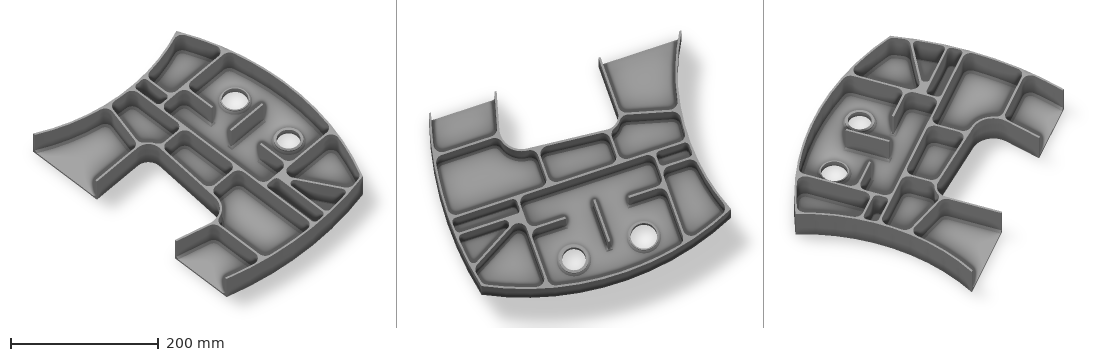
import cadquery as cq
import math


length = 385.0
depth = 299.5
height = 40.0

wall = 3.0
rib = 3.0
floor = 3.0

corner_radius = 11.5
small_corner_radius = 6.0
foot = 3.15
small_foot = 1.0
end_foot = 2.0

mid_x = 190.0
central_half_width = 98.2
left_rib_x = mid_x - central_half_width
right_rib_x = mid_x + central_half_width
row_y = 150.2
small_row_y = 175.0
stub_y = 200.0
right_leg_y = 60.0
left_leg_rib_y = 116.7
left_leg_slope = math.tan(math.radians(15))
diagonal_start_y = 175.3
diagonal_slope = math.tan(math.radians(30))

top_radius = 400.0
left_radius = 300.0
right_radius = 497.0
top_center = (mid_x, depth - top_radius)
left_center = (-math.sqrt(left_radius**2 - row_y**2), row_y)
right_center = (length - right_radius, row_y)

notch_left_x = 119.5
notch_right_x = 265.0
notch_left_y = 102.0
notch_drop = math.tan(math.radians(5))
notch_lean = math.tan(math.radians(15))
notch_left_radius = 20.0
notch_right_radius = 30.0

hole_offset = 50.0
left_hole_x = mid_x - hole_offset
right_hole_x = mid_x + hole_offset
hole_y = 249.5
left_hole_radius = 18.0
right_hole_radius = 16.0
collar_radius = 20.0
collar_height = 5.0
stub_gap = 90.0
blade_front_y = 188.5
blade_back_y = 251.0

margin = 38.5
far_left = -margin
far_right = length + margin
far_back = depth + margin
far_front = -2 * margin


def cylinder(center, radius):
    return cq.Workplane("XY").center(*center).circle(radius).extrude(height)


def notch(inset):
    """Opening between the legs, grown outward by inset."""
    upper_edge_at_zero = notch_left_y + notch_drop * notch_left_x
    corner_x = (notch_right_x + notch_lean * upper_edge_at_zero) / (1 + notch_lean * notch_drop)
    corner_y = upper_edge_at_zero - notch_drop * corner_x
    corners = [
        (notch_left_x, -margin),
        (notch_left_x, notch_left_y),
        (corner_x, corner_y),
        (notch_right_x - notch_lean * margin, -margin),
    ]
    opening = cq.Workplane("XY").polyline(corners).close().extrude(height)
    upper_left = cq.selectors.NearestToPointSelector((notch_left_x, notch_left_y, height / 2))
    upper_right = cq.selectors.NearestToPointSelector((corner_x, corner_y, height / 2))
    opening = opening.edges("|Z").edges(upper_left).fillet(notch_left_radius)
    opening = opening.edges("|Z").edges(upper_right).fillet(notch_right_radius)
    if inset == 0:
        return opening
    outline = opening.faces("<Z").wires().val()
    return cq.Workplane("XY").add(outline).toPending().offset2D(inset).extrude(height)


def envelope(inset, front_y):
    """Plan shape with its curved sides and notch moved inward by inset, cut off at front_y."""
    body = (
        cq.Workplane("XY", origin=(far_left, front_y, 0))
        .rect(far_right - far_left, far_back - front_y, centered=False)
        .extrude(height)
    )
    body = body.intersect(cylinder(top_center, top_radius - inset))
    body = body.intersect(cylinder(right_center, right_radius - inset))
    body = body.cut(cylinder(left_center, left_radius + inset))
    return body.cut(notch(inset))


def pocket(space, corners, radius, foot_size):
    """Pocket within space, between ribs whose centrelines join the corners."""
    cell = cq.Workplane("XY").polyline(corners).close().offset2D(-rib / 2, "intersection").extrude(height)
    sharp_outline = space.intersect(cell).faces("<Z").wires().val()
    outline = sharp_outline.offset2D(-radius, "arc")[0].offset2D(radius, "arc")[0]
    prism = cq.Workplane("XY").add(outline).toPending().extrude(height)
    return prism.faces("<Z").edges().chamfer(foot_size).translate((0, 0, floor))


def box_corners(x_min, x_max, y_min, y_max):
    return [(x_min, y_min), (x_max, y_min), (x_max, y_max), (x_min, y_max)]


def on_left_leg_rib(x):
    return (x, left_leg_rib_y - left_leg_slope * x)


def on_diagonal(x):
    return (x, diagonal_start_y + diagonal_slope * (x - right_rib_x))


def stub_opening():
    """Gap that splits the stub rib in two, leaving a small foot at each free end."""
    return (
        cq.Workplane("XY", origin=(mid_x, stub_y, floor))
        .rect(stub_gap, rib + 2 * foot)
        .extrude(height)
        .edges("|Y and <Z")
        .chamfer(end_foot)
    )


def blade():
    """Free standing full-height rib with a sloping foot all round."""
    center_y = (blade_front_y + blade_back_y) / 2
    span = blade_back_y - blade_front_y
    plate = cq.Workplane("XY", origin=(mid_x, center_y, 0)).rect(rib, span).extrude(height)
    base = (
        cq.Workplane("XY", origin=(mid_x, center_y, floor))
        .rect(rib + 2 * foot, span + 2 * end_foot)
        .workplane(offset=foot)
        .rect(rib, span)
        .loft()
    )
    return plate.union(base)


def collar(x):
    """Solid disc with a conical foot, to be bored through."""
    profile = [
        (0, 0),
        (collar_radius + foot, 0),
        (collar_radius + foot, floor),
        (collar_radius, floor + foot),
        (collar_radius, floor + collar_height),
        (0, floor + collar_height),
    ]
    return cq.Workplane("XZ").polyline(profile).close().revolve().translate((x, hole_y, 0))


large_pockets = [
    box_corners(far_left, left_rib_x, small_row_y, far_back),
    box_corners(left_rib_x, right_rib_x, stub_y, far_back),
    box_corners(left_rib_x, right_rib_x, row_y, stub_y),
    [on_diagonal(right_rib_x), on_diagonal(far_right), (far_right, far_back), (right_rib_x, far_back)],
    [on_left_leg_rib(far_left), on_left_leg_rib(left_hole_x), (left_hole_x, row_y), (far_left, row_y)],
    box_corners(left_hole_x, right_hole_x, right_leg_y, row_y),
    box_corners(right_hole_x, far_right, right_leg_y, row_y),
    [(far_left, far_front), (mid_x, far_front), on_left_leg_rib(mid_x), on_left_leg_rib(far_left)],
    box_corners(mid_x, far_right, far_front, right_leg_y),
]

diagonal_tip_x = right_rib_x + (small_row_y - diagonal_start_y) / diagonal_slope
small_pockets = [
    box_corners(far_left, left_rib_x, row_y, small_row_y),
    box_corners(right_rib_x, far_right, row_y, small_row_y),
    [(diagonal_tip_x, small_row_y), (far_right, small_row_y), on_diagonal(far_right)],
]

result = envelope(0, 0)
inside_walls = envelope(wall, -margin)

for corners in large_pockets:
    result = result.cut(pocket(inside_walls, corners, corner_radius, foot))
for corners in small_pockets:
    result = result.cut(pocket(inside_walls, corners, small_corner_radius, small_foot))

result = result.cut(stub_opening()).union(blade())

for hole_x, hole_radius in [(left_hole_x, left_hole_radius), (right_hole_x, right_hole_radius)]:
    result = result.union(collar(hole_x))
    result = result.cut(cylinder((hole_x, hole_y), hole_radius))